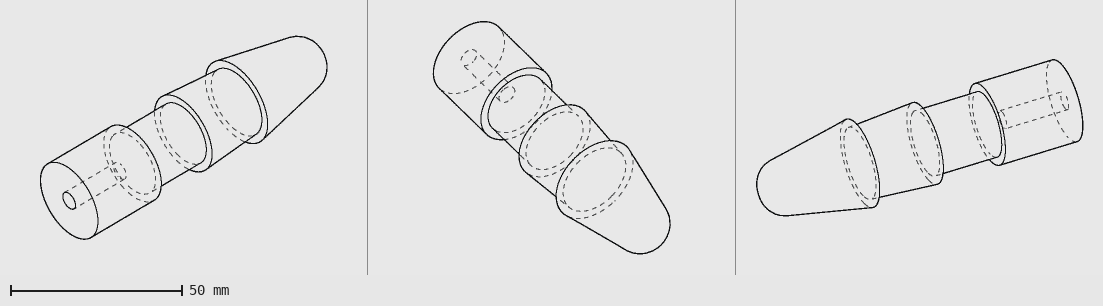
import cadquery as cq

base_diameter = 25.0
base_length = 25.0
neck_diameter = 20.0
neck_length = 20.0
collar_rear_diameter = 25.0
collar_front_diameter = 22.0
collar_length = 21.0
nose_rear_diameter = 27.0
nose_front_diameter = 14.7
nose_length = 32.0
nose_rounding = nose_front_diameter / 2
hole_diameter = 5.5
hole_depth = 20.0

total_length = base_length + neck_length + collar_length + nose_length
base_start = -total_length / 2
neck_start = base_start + base_length
collar_start = neck_start + neck_length
nose_start = collar_start + collar_length


def turned_section(start, length, rear_diameter, front_diameter):
    """Straight or tapered round section on the Y axis, running toward +Y."""
    rear_radius = rear_diameter / 2
    front_radius = front_diameter / 2
    end = start + length
    outline = [(0, start), (rear_radius, start), (front_radius, end), (0, end)]
    profile = cq.Workplane("ZY").polyline(outline).close()
    return profile.revolve(360, (0, 0, 0), (0, 1, 0))


base = turned_section(base_start, base_length, base_diameter, base_diameter)
neck = turned_section(neck_start, neck_length, neck_diameter, neck_diameter)
collar = turned_section(collar_start, collar_length, collar_rear_diameter, collar_front_diameter)
nose = turned_section(nose_start, nose_length, nose_rear_diameter, nose_front_diameter)
nose = nose.faces(">Y").edges().fillet(nose_rounding)

hole = turned_section(base_start, hole_depth, hole_diameter, hole_diameter)

result = base.union(neck).union(collar).union(nose).cut(hole)